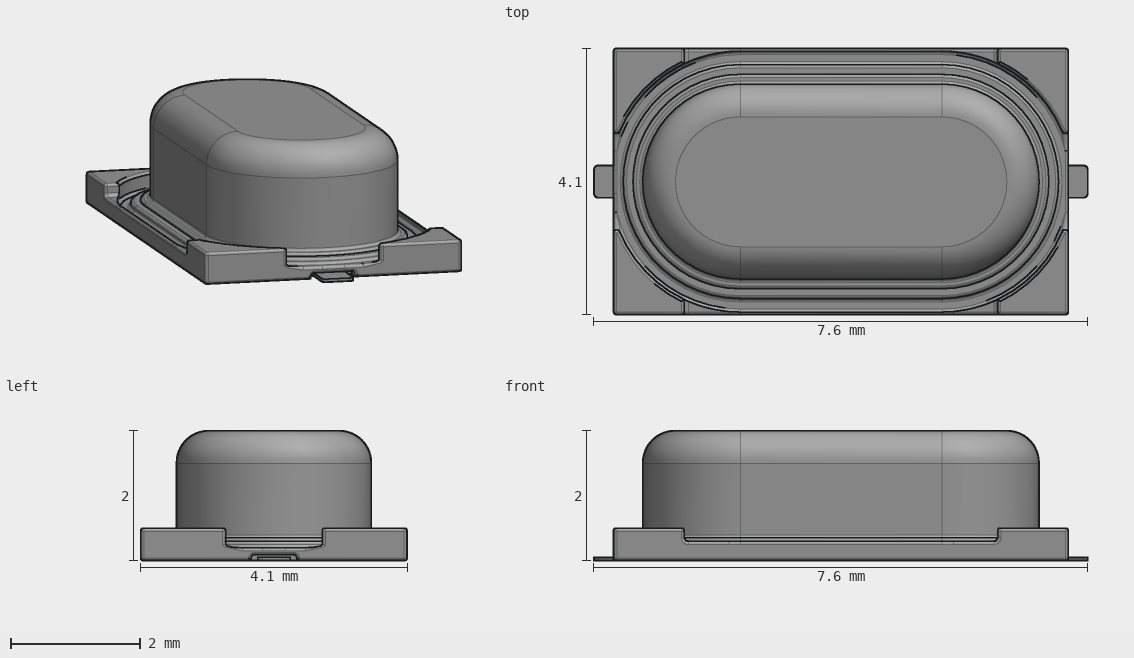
import cadquery as cq
step_round = 0.05
upper_round = 0.048

base_length = 7.0
base_width = 4.1
base_height = 0.5
rim_radius = 0.05
top_edge_radius = 0.045
bottom_edge_radius = 0.04

overall_height = 2.0
end_center_x = 1.55
cap_radius = 1.5
cap_top_radius = 0.5
flange_radius = cap_radius + 3 * step_round

pocket_radius = 2.008
pocket_floor_z = 0.2
gap_floor_z = 0.3
gap_corner_radius = 0.06
side_gap_length = 4.82
end_gap_width = 1.33

seat_radius = flange_radius + 3 * step_round
seat_top_z = pocket_floor_z + 2 * step_round
flange_top_z = seat_top_z + step_round

overall_length = 7.6
lead_width = 0.5
lead_thickness = 0.05
lead_corner_radius = 0.07
slot_width = 0.7
slot_height = 0.09
slot_depth = 0.25
slot_corner_radius = 0.05

pick_margin = 0.001


def block(length, width, bottom_z, top_z):
    """Centred rectangular block between two heights."""
    return (
        cq.Workplane("XY", origin=(0, 0, bottom_z))
        .rect(length, width)
        .extrude(top_z - bottom_z)
    )


def stadium(radius, bottom_z, top_z):
    """Upright stadium prism with round ends centred at x = +/- end_center_x."""
    return (
        cq.Workplane("XY", origin=(0, 0, bottom_z))
        .slot2D(2 * (end_center_x + radius), 2 * radius)
        .extrude(top_z - bottom_z)
    )


def outline_edges(body, radius, z):
    """Edges at height z that outline a stadium of the given radius on a body."""

    def on_outline(edge):
        box = edge.BoundingBox()
        at_height = abs(box.zmin - z) < pick_margin and abs(box.zmax - z) < pick_margin
        reach = max(abs(box.ymin), abs(box.ymax))
        return at_height and abs(reach - radius) < pick_margin

    return body.edges().filter(on_outline)


def near_end_face(edge):
    return abs(edge.Center().x) > base_length / 2 - rim_radius


def near_side_face(edge):
    return abs(edge.Center().y) > base_width / 2 - rim_radius


def on_outer_face(edge):
    return near_end_face(edge) or near_side_face(edge)


def on_pocket_lip(edge):
    """True for the edges where the pocket floor runs out through an end face."""
    above_floor = edge.Center().z - pocket_floor_z
    in_pocket = -pick_margin < above_floor < step_round - pick_margin
    return near_end_face(edge) and in_pocket


def on_lower_rim(edge):
    """True for the bottom perimeter and for the mouths of the slots in the end faces."""
    return on_outer_face(edge) and edge.Center().z < slot_height + pick_margin


def gap_cutter():
    """Straight gaps across the plate in both directions, with rounded floor corners."""
    side_gap = block(side_gap_length, 2 * base_width, gap_floor_z, base_height)
    side_gap = side_gap.edges("|Y and <Z").fillet(gap_corner_radius)
    end_gap = block(2 * base_length, end_gap_width, gap_floor_z, base_height)
    end_gap = end_gap.edges("|X and <Z").fillet(gap_corner_radius)
    return side_gap.union(end_gap)


def pocket_cutter():
    pocket = stadium(pocket_radius, pocket_floor_z, base_height)
    return pocket.faces("<Z").edges().fillet(step_round)


def slot_cutter(x_sign):
    """Relief slot in the underside at one end, with rounded upper corners."""
    return (
        cq.Workplane("XY")
        .box(2 * slot_depth, slot_width, 2 * slot_height)
        .edges("|X and >Z")
        .fillet(slot_corner_radius)
        .translate((x_sign * base_length / 2, 0, 0))
    )


def lead(x_sign):
    """Flat lead from the inner end of a slot out past the base."""
    lead_length = overall_length / 2 - base_length / 2 + slot_depth
    center_x = x_sign * (overall_length - lead_length) / 2
    outer_corners = "|Z and >X" if x_sign > 0 else "|Z and <X"
    return (
        block(lead_length, lead_width, 0, lead_thickness)
        .edges(outer_corners)
        .fillet(lead_corner_radius)
        .translate((center_x, 0, 0))
    )


def make_base():
    base = block(base_length, base_width, 0, base_height)
    base = base.cut(gap_cutter()).cut(pocket_cutter())
    base = base.edges().filter(on_pocket_lip).fillet(rim_radius)
    base = base.edges("|Z").filter(on_outer_face).fillet(rim_radius)
    base = base.faces(">Z").edges().fillet(top_edge_radius)
    for x_sign in (-1, 1):
        base = base.cut(slot_cutter(x_sign))
    base = base.edges().filter(on_lower_rim).fillet(bottom_edge_radius)
    for x_sign in (-1, 1):
        base = base.union(lead(x_sign))
    base = base.union(stadium(seat_radius, pocket_floor_z, seat_top_z))
    base = outline_edges(base, seat_radius, pocket_floor_z).fillet(step_round)
    return outline_edges(base, seat_radius, seat_top_z).fillet(upper_round)


def make_can():
    flange = stadium(flange_radius, seat_top_z, flange_top_z)
    cap = stadium(cap_radius, seat_top_z, overall_height)
    can = flange.union(cap)
    can = outline_edges(can, cap_radius, flange_top_z).fillet(step_round)
    can = outline_edges(can, flange_radius, flange_top_z).fillet(upper_round)
    return can.faces(">Z").edges().fillet(cap_top_radius)


base = make_base()
can = make_can()
result = cq.Compound.makeCompound([base.val(), can.val()])